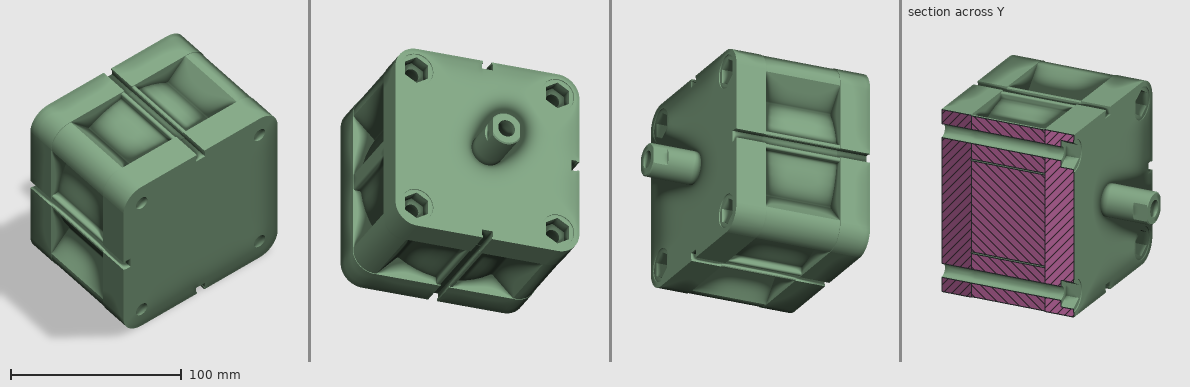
import cadquery as cq
import math

cap_side = 116.0
cap_length = 19.3
barrel_length = 48.2
rod_reach = 30.2
barrel_start = cap_length
rear_cap_start = barrel_start + barrel_length

cap_corner_radius = 13.6
bolt_offset = cap_side / 2 - cap_corner_radius
bolt_hole_diameter = 8.5
bolt_seat_diameter = 20.5
bolt_seat_depth = 0.6
hex_across_flats = 14.5
hex_depth = 8.8

slot_mouth_width = 5.6
slot_inner_width = 6.8
slot_lip = 1.4
cap_slot_depth = 5.1
barrel_slot_depth = 4.3
barrel_slot_chamfer = 0.5
slot_angles = (0, 90, 180)

tube_radius = 53.1
post_width = 20.5
post_end_radius = 13.2
rib_width = 10.8
rib_height = 57.5
edge_radius = 1.0

rod_diameter = 20.0
rod_chamfer = 0.7
rod_across_flats = 17.0
rod_flat_length = 9.1
rod_hole_diameter = 10.5
rod_hole_depth = 19.9
rod_hole_tip_angle = 120.0


def bolt_positions():
    """Bolt axes at the four corners, as (y, z)."""
    return [(y, z) for y in (-bolt_offset, bolt_offset) for z in (-bolt_offset, bolt_offset)]


def bolt_cylinders(diameter, start, length):
    plane = cq.Workplane("YZ").workplane(offset=start)
    return plane.pushPoints(bolt_positions()).circle(diameter / 2).extrude(length)


def cut_slots(body, side, depth, start, length):
    """Cut a T-slot into the middle of the three slotted sides."""
    edge = side / 2
    for angle in slot_angles:
        plane = cq.Workplane("YZ").workplane(offset=start)
        mouth = plane.center(0, edge - depth / 2).rect(slot_mouth_width, depth).extrude(length)
        inner_height = depth - slot_lip
        plane = cq.Workplane("YZ").workplane(offset=start)
        inner = plane.center(0, edge - depth + inner_height / 2)
        inner = inner.rect(slot_inner_width, inner_height).extrude(length)
        slot = mouth.union(inner).rotate((0, 0, 0), (1, 0, 0), angle)
        body = body.cut(slot)
    return body


def make_cap(start):
    """Plain end cap with T-slots and bolt holes."""
    cap = cq.Workplane("YZ").workplane(offset=start).rect(cap_side, cap_side).extrude(cap_length)
    cap = cap.edges("|X").fillet(cap_corner_radius)
    cap = cut_slots(cap, cap_side, cap_slot_depth, start, cap_length)
    return cap.cut(bolt_cylinders(bolt_hole_diameter, start, cap_length))


def make_front_cap():
    """End cap with shallow bolt seats, hexagon pockets and the rod bore."""
    cap = make_cap(0)
    cap = cap.cut(bolt_cylinders(bolt_seat_diameter, 0, bolt_seat_depth))
    hex_diameter = hex_across_flats / math.cos(math.pi / 6)
    for y, z in bolt_positions():
        pocket = cq.Workplane("YZ").polygon(6, hex_diameter).extrude(hex_depth)
        pocket = pocket.rotate((0, 0, 0), (1, 0, 0), 90).translate((0, y, z))
        cap = cap.cut(pocket)
    bore = cq.Workplane("YZ").circle(rod_diameter / 2).extrude(cap_length)
    return cap.cut(bore)


def make_post():
    """Diagonal web from the axis to a corner, with parallel walls and a rounded end around the bolt."""
    bolt_distance = bolt_offset * math.sqrt(2)
    half_width = post_width / 2
    wall_end = bolt_distance + math.sqrt(post_end_radius**2 - half_width**2)
    post = cq.Workplane("YZ").workplane(offset=barrel_start).moveTo(0, -half_width)
    post = post.lineTo(wall_end, -half_width)
    post = post.threePointArc((bolt_distance + post_end_radius, 0), (wall_end, half_width))
    return post.lineTo(0, half_width).close().extrude(barrel_length)


def make_rib():
    """Rib from the axis to the middle of the +Z side, rounded along its outer edges."""
    rib = cq.Workplane("YZ").workplane(offset=barrel_start).center(0, rib_height / 2)
    rib = rib.rect(rib_width, rib_height).extrude(barrel_length)
    return rib.faces(">Z").edges("|X").fillet(edge_radius)


def round_tube_corners(barrel):
    """Fillet the inner corners where the posts and ribs rise from the tube."""
    def is_on_tube(line):
        middle = line.Center()
        return math.isclose(math.hypot(middle.y, middle.z), tube_radius, abs_tol=0.01)
    return barrel.edges("|X").filter(is_on_tube).fillet(edge_radius)


def chamfer_slot_mouths(barrel):
    """Bevel the outer edges of the T-slots in the ribs."""
    def is_mouth_edge(line):
        near, far = sorted((abs(line.Center().y), abs(line.Center().z)))
        at_side = math.isclose(far, rib_height, abs_tol=0.01)
        return at_side and math.isclose(near, slot_mouth_width / 2, abs_tol=0.01)
    return barrel.edges("|X").filter(is_mouth_edge).chamfer(barrel_slot_chamfer)


def make_barrel():
    """Middle section: a tube with corner posts and ribs, T-slots and bolt holes."""
    barrel = cq.Workplane("YZ").workplane(offset=barrel_start).circle(tube_radius).extrude(barrel_length)
    for angle in (0, 90, 180, 270):
        barrel = barrel.union(make_post().rotate((0, 0, 0), (1, 0, 0), angle + 45))
        barrel = barrel.union(make_rib().rotate((0, 0, 0), (1, 0, 0), angle))
    barrel = round_tube_corners(barrel)
    barrel = cut_slots(barrel, 2 * rib_height, barrel_slot_depth, barrel_start, barrel_length)
    barrel = chamfer_slot_mouths(barrel)
    return barrel.cut(bolt_cylinders(bolt_hole_diameter, barrel_start, barrel_length))


def make_rod():
    """Rod with a chamfered tip, two wrench flats and a blind drilled hole."""
    tip = -rod_reach
    rod = cq.Workplane("YZ").workplane(offset=tip).circle(rod_diameter / 2).extrude(rod_reach + cap_length)
    rod = rod.faces("<X").edges().chamfer(rod_chamfer)
    for direction in (-1, 1):
        flat = cq.Workplane("XY").box(rod_flat_length, rod_diameter, rod_diameter, centered=(False, True, True))
        rod = rod.cut(flat.translate((tip, direction * (rod_across_flats + rod_diameter) / 2, 0)))
    hole_radius = rod_hole_diameter / 2
    point_length = hole_radius / math.tan(math.radians(rod_hole_tip_angle / 2))
    hole_end = tip + rod_hole_depth
    profile = [(tip, 0), (tip, hole_radius), (hole_end, hole_radius), (hole_end + point_length, 0)]
    hole = cq.Workplane("XY").polyline(profile).close().revolve(360, (0, 0, 0), (1, 0, 0))
    return rod.cut(hole)


front_cap = make_front_cap()
barrel = make_barrel()
rear_cap = make_cap(rear_cap_start)
rod = make_rod()

result = cq.Compound.makeCompound([front_cap.val(), barrel.val(), rear_cap.val(), rod.val()])